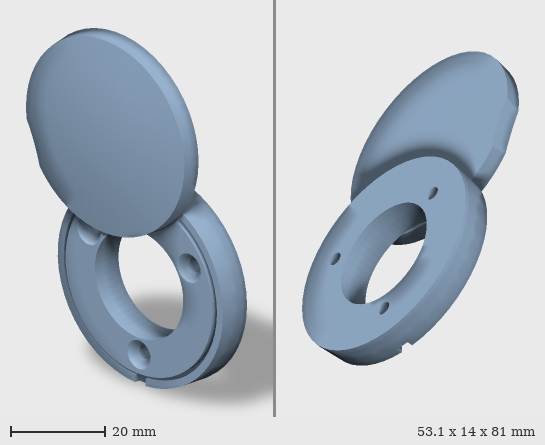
import cadquery as cq
import math

ring_radius = 23.95
bore_radius = 12.55

base_thickness = 1.0

ring_front_radius = 23.5
rim_front = 7.1
face_step = 0.4
groove_outer_radius = 21.8
groove_inner_radius = 20.9
groove_depth = 1.45
slot_width = 3.0

screw_count = 3
screw_circle_radius = 16.4
screw_radius = 1.5
countersink_radius = 3.3
first_screw_angle = -90

lid_x = -6.1
lid_z = 34.0
lid_radius = 23.0
lid_front_radius = 22.5
lid_wall = 4.0
dome_height = 2.5
bite_radius = 24.3
bite_depth = 1.7
bite_angle = 200.5

face_front = rim_front + face_step
groove_floor = rim_front - groove_depth
countersink_depth = countersink_radius - screw_radius


def rod(radius, x, z, rear, front):
    """Cylinder along Y between two distances in front of the rear face."""
    return cq.Workplane("XZ", origin=(x, -rear, z)).circle(radius).extrude(front - rear)


def screw_places():
    """X and Z of each screw hole."""
    places = []
    for index in range(screw_count):
        angle = math.radians(first_screw_angle + index * 360 / screw_count)
        places.append((screw_circle_radius * math.cos(angle), screw_circle_radius * math.sin(angle)))
    return places


def countersink(x, z):
    """Cone that widens up to the inner face."""
    cone = cq.Solid.makeCone(
        screw_radius,
        countersink_radius,
        countersink_depth,
        pnt=cq.Vector(x, countersink_depth - face_front, z),
        dir=cq.Vector(0, -1, 0),
    )
    return cq.Workplane(obj=cone)


def make_base():
    base = rod(ring_radius, 0, 0, 0, base_thickness)
    base = base.cut(rod(bore_radius, 0, 0, 0, base_thickness))
    for x, z in screw_places():
        base = base.cut(rod(screw_radius, x, z, 0, base_thickness))
    return base


def make_front_ring():
    ring = (
        cq.Workplane("XY")
        .moveTo(bore_radius, -base_thickness)
        .lineTo(ring_radius, -base_thickness)
        .lineTo(ring_front_radius, -rim_front)
        .lineTo(groove_outer_radius, -rim_front)
        .lineTo(groove_outer_radius, -groove_floor)
        .lineTo(groove_inner_radius, -groove_floor)
        .lineTo(groove_inner_radius, -face_front)
        .lineTo(bore_radius, -face_front)
        .close()
        .revolve(360, (0, 0, 0), (0, 1, 0))
    )
    slot = (
        cq.Workplane("XY")
        .box(slot_width, groove_depth, ring_radius, centered=(True, False, False))
        .translate((0, -rim_front, -ring_radius))
        .cut(rod(groove_inner_radius, 0, 0, groove_floor, rim_front))
    )
    ring = ring.cut(slot)
    for x, z in screw_places():
        ring = ring.cut(rod(screw_radius, x, z, base_thickness, face_front))
        ring = ring.cut(countersink(x, z))
    return ring


def make_lid():
    edge_front = face_front + lid_wall
    apex = edge_front + dome_height
    sphere_radius = (lid_front_radius**2 + dome_height**2) / (2 * dome_height)
    half_edge = lid_front_radius / 2
    half_edge_front = apex - sphere_radius + math.sqrt(sphere_radius**2 - half_edge**2)
    lid = (
        cq.Workplane("XY")
        .moveTo(0, -face_front)
        .lineTo(lid_radius, -face_front)
        .lineTo(lid_front_radius, -edge_front)
        .threePointArc((half_edge, -half_edge_front), (0, -apex))
        .close()
        .revolve(360, (0, 0, 0), (0, 1, 0))
        .translate((lid_x, 0, lid_z))
    )
    bite_distance = lid_radius + bite_radius - bite_depth
    bite_x = lid_x + bite_distance * math.cos(math.radians(bite_angle))
    bite_z = lid_z + bite_distance * math.sin(math.radians(bite_angle))
    return lid.cut(rod(bite_radius, bite_x, bite_z, face_front, apex))


base = make_base()
front_ring = make_front_ring()
lid = make_lid()

result = cq.Compound.makeCompound([base.val(), front_ring.val(), lid.val()])